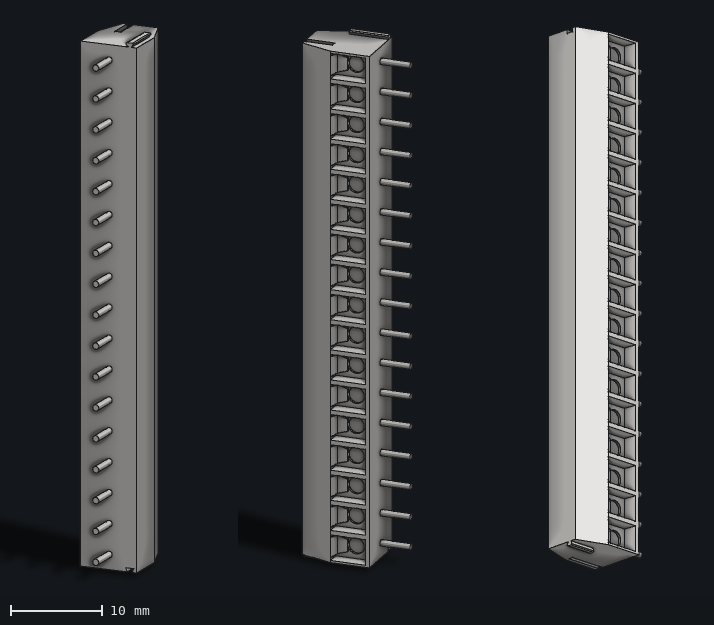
import cadquery as cq
import math

body_width = 6.8
body_depth = 8.4
body_height = 59.5
crown_width = 4.25
shoulder_y = 4.6

pole_count = 17
pole_pitch = body_height / pole_count

pin_diameter = 0.7
pin_length = 3.5
pin_x = 0.09

entry_front_y = 0.5
entry_height = 2.95
entry_depth = 1.6
entry_front_lean = 0.2
bore_diameter = 1.9
bore_y = 2.2
bore_depth = 0.3
tongue_depth = 1.25
tongue_front_y = 3.1
tongue_front_height = 1.45
tongue_back_height = 2.35
tongue_back_lean = 0.35

overall_height = 60.45
rail_height = (overall_height - body_height) / 2
rail_chamfer = 0.1
front_rail_x = 2.55
front_rail_length = shoulder_y
front_rail_root = 0.4
front_rail_tip = 0.9
front_groove_root = 0.55
front_groove_tip = 0.9
back_rail_x = -1.2
back_rail_length = 3.3
back_rail_root = 0.5
back_rail_tip = 0.7
back_groove_root = 0.7
back_groove_tip = 0.85

flank_x = -body_width / 2
floor_x = flank_x + entry_depth
bore_end_x = floor_x + bore_depth
tongue_x = flank_x + tongue_depth


def housing():
    """Bar with a rectangular front half and leaning flanks at the back."""
    outline = [
        (flank_x, 0),
        (-flank_x, 0),
        (-flank_x, shoulder_y),
        (crown_width / 2, body_depth),
        (-crown_width / 2, body_depth),
        (flank_x, shoulder_y),
    ]
    return cq.Workplane("XY").polyline(outline).close().extrude(body_height)


def dovetail(x, start_y, length, root_z, rise, root_width, tip_width, chamfer=0):
    """Bar along +Y that widens from root_z over a signed rise, with optional chamfers at its tip."""
    tip_z = root_z + rise
    widest_z = tip_z - math.copysign(chamfer, rise)
    right_side = [(root_width / 2, root_z), (tip_width / 2, widest_z)]
    if chamfer:
        right_side.append((tip_width / 2 - chamfer, tip_z))
    right = [(x + half_width, z) for half_width, z in right_side]
    left = [(x - half_width, z) for half_width, z in reversed(right_side)]
    return cq.Workplane("XZ", origin=(0, start_y, 0)).polyline(right + left).close().extrude(-length)


def front_dovetail(root_z, root_width, tip_width, chamfer=0):
    """Upward dovetail that starts at the front face."""
    return dovetail(front_rail_x, 0, front_rail_length, root_z, rail_height, root_width, tip_width, chamfer)


def back_dovetail(root_z, root_width, tip_width, chamfer=0):
    """Downward dovetail that ends at the back face."""
    start_y = body_depth - back_rail_length
    drop = -rail_height
    return dovetail(back_rail_x, start_y, back_rail_length, root_z, drop, root_width, tip_width, chamfer)


def wire_entry(z):
    """Cutter for one wire entry at height z: pocket and bore, less the tongue left standing."""
    pocket_outline = [
        (flank_x, entry_front_y),
        (flank_x, shoulder_y),
        (floor_x, shoulder_y),
        (floor_x, entry_front_y + entry_front_lean),
    ]
    pocket_base = cq.Workplane("XY", origin=(0, 0, z - entry_height / 2))
    pocket = pocket_base.polyline(pocket_outline).close().extrude(entry_height)
    bore = cq.Workplane("YZ", origin=(floor_x, bore_y, z)).circle(bore_diameter / 2).extrude(bore_depth)
    return pocket.union(bore).cut(tongue(z))


def tongue(z):
    """Tongue along the back of a wire entry, narrowing from the back wall towards the bore."""
    profile = [
        (flank_x, shoulder_y),
        (tongue_x, shoulder_y - tongue_back_lean),
        (tongue_x, tongue_front_y),
        (bore_end_x, tongue_front_y),
        (bore_end_x, shoulder_y),
    ]
    outline = [
        (tongue_front_y, z - tongue_front_height / 2),
        (shoulder_y, z - tongue_back_height / 2),
        (shoulder_y, z + tongue_back_height / 2),
        (tongue_front_y, z + tongue_front_height / 2),
    ]
    profile_base = cq.Workplane("XY", origin=(0, 0, z - entry_height / 2))
    stepped_bar = profile_base.polyline(profile).close().extrude(entry_height)
    outline_base = cq.Workplane("YZ", origin=(flank_x, 0, 0))
    wedge = outline_base.polyline(outline).close().extrude(entry_depth + bore_depth)
    return stepped_bar.intersect(wedge)


def pin(z):
    """Round solder pin standing out of the front face."""
    return cq.Workplane("XZ", origin=(pin_x, 0, z)).circle(pin_diameter / 2).extrude(pin_length)


result = housing()
result = result.union(front_dovetail(body_height, front_rail_root, front_rail_tip, rail_chamfer))
result = result.cut(front_dovetail(0, front_groove_root, front_groove_tip))
result = result.union(back_dovetail(0, back_rail_root, back_rail_tip, rail_chamfer))
result = result.cut(back_dovetail(body_height, back_groove_root, back_groove_tip))
for pole in range(pole_count):
    pole_z = (pole + 0.5) * pole_pitch
    result = result.cut(wire_entry(pole_z)).union(pin(pole_z))